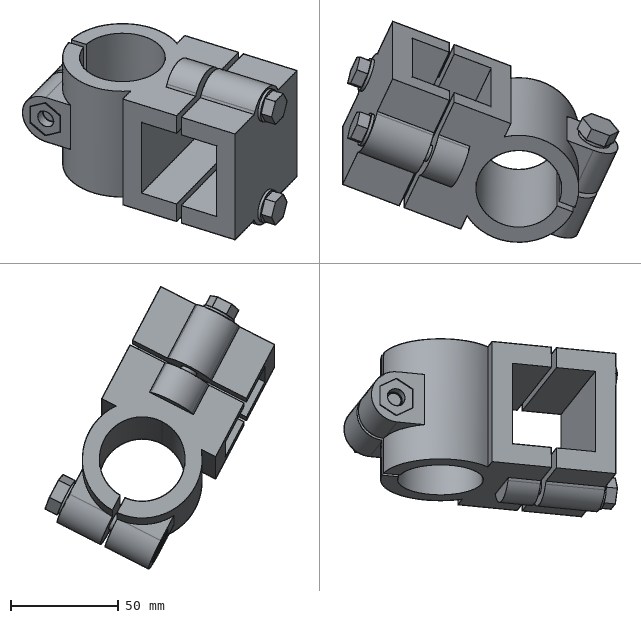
import cadquery as cq
import math

height = 60.0
total_height = 75.0
slit = 2.5
overlap = 0.6

bore_diameter = 40.0
ring_diameter = 56.0

block_size = 60.0
block_left = 16.7
block_middle = block_left + block_size / 2
block_right = block_left + block_size
window_size = 40.0

lug_radius = 12.5
ring_lug_x = -27.6
ring_lug_length = 48.1
block_lug_inset = 13.0
block_lug_left = block_left + block_lug_inset
block_lug_top = total_height / 2
block_lug_z = block_lug_top - lug_radius
block_lug_half_angle = math.radians(60)
block_lug_flank = 3.7

shank_diameter = 8.0
washer_diameter = 16.0
washer_thickness = 1.5
ring_bolt_x = -28.0
ring_head_flats = 16.0
ring_head_height = 6.5
block_bolt_z = 28.5
block_head_flats = 13.0
block_head_height = 5.6

nut_recess = 0.5
nut_hole_diameter = 8.4
bolt_tip_diameter = 6.7
bolt_tip_depth = 4.5
bolt_tip_chamfer = (shank_diameter - bolt_tip_diameter) / 2


def hexagon(plane, flats, length):
    """Hexagonal prism with two of its corners on the plane's local x axis."""
    corner_diameter = flats / math.cos(math.pi / 6)
    return cq.Workplane(plane).polygon(6, corner_diameter).extrude(length)


def bolt(seat_plane, head_flats, head_height, shank_length):
    """Washer and hexagonal head on the seat plane, with the shank running back from it."""
    washer = cq.Workplane(seat_plane).workplane(offset=-overlap)
    washer = washer.circle(washer_diameter / 2).extrude(washer_thickness + overlap)
    head_plane = cq.Plane(
        seat_plane.toWorldCoords((0, 0, washer_thickness)), seat_plane.xDir, seat_plane.zDir
    )
    head = hexagon(head_plane, head_flats, head_height)
    shank = cq.Workplane(seat_plane).circle(shank_diameter / 2).extrude(-shank_length)
    return washer.union(head).union(shank)


def block_lug():
    """Rounded lug on top of the square sleeve, with straight flanks running down into it."""
    arc_y = lug_radius * math.sin(block_lug_half_angle)
    arc_z = block_lug_z + lug_radius * math.cos(block_lug_half_angle)
    foot_y = arc_y + block_lug_flank * math.cos(block_lug_half_angle)
    foot_z = arc_z - block_lug_flank * math.sin(block_lug_half_angle)
    return (
        cq.Workplane("YZ", origin=(block_lug_left, 0, 0))
        .moveTo(-foot_y, foot_z)
        .lineTo(-arc_y, arc_z)
        .threePointArc((0, block_lug_top), (arc_y, arc_z))
        .lineTo(foot_y, foot_z)
        .close()
        .extrude(block_right - block_lug_left)
    )


def clamp_body():
    """Round and square sleeves with their lugs, bored, windowed and slit."""
    ring = cq.Workplane("XY").circle(ring_diameter / 2).extrude(height / 2, both=True)
    block = cq.Workplane("XY").box(block_size, block_size, height).translate((block_middle, 0, 0))
    ring_lug = (
        cq.Workplane("XZ")
        .moveTo(0, lug_radius)
        .lineTo(ring_lug_x, lug_radius)
        .threePointArc((ring_lug_x - lug_radius, 0), (ring_lug_x, -lug_radius))
        .lineTo(0, -lug_radius)
        .close()
        .extrude(ring_lug_length / 2, both=True)
    )
    body = ring.union(block).union(ring_lug)

    upper_lug = block_lug()
    body = body.union(upper_lug).union(upper_lug.mirror("XY"))

    bore = cq.Workplane("XY").circle(bore_diameter / 2).extrude(height, both=True)
    window = cq.Workplane("XY").box(window_size, 2 * block_size, window_size)
    window = window.translate((block_middle, 0, 0))
    block_slit = cq.Workplane("XY").box(slit, 2 * block_size, 2 * height)
    block_slit = block_slit.translate((block_middle, 0, 0))
    ring_slit = cq.Workplane("XY").box(ring_diameter, slit, 2 * height)
    ring_slit = ring_slit.translate((-ring_diameter / 2, 0, 0))
    return body.cut(bore).cut(window).cut(block_slit).cut(ring_slit)


def add_ring_bolt(body):
    """Bolt along Y through the ring lug, with its nut recessed in the front end."""
    seat = cq.Plane((ring_bolt_x, ring_lug_length / 2, 0), (1, 0, 0), (0, 1, 0))
    body = body.union(bolt(seat, ring_head_flats, ring_head_height, ring_lug_length / 2 + lug_radius))

    front = cq.Plane((ring_bolt_x, -ring_lug_length / 2, 0), (0, 0, 1), (0, 1, 0))
    hole_depth = bolt_tip_depth + bolt_tip_chamfer
    hole = cq.Workplane(front).circle(nut_hole_diameter / 2).extrude(hole_depth)
    tip = (
        cq.Workplane(front)
        .workplane(offset=bolt_tip_depth)
        .circle(shank_diameter / 2)
        .extrude(bolt_tip_chamfer + overlap)
        .faces("<Y")
        .chamfer(bolt_tip_chamfer)
    )
    return body.cut(hexagon(front, ring_head_flats, nut_recess)).cut(hole).union(tip)


def add_block_bolts(body):
    """Upper and lower bolts along X through the lugs of the square sleeve."""
    shank_length = block_size / 2 + lug_radius
    for side in (1, -1):
        seat = cq.Plane((block_right, 0, side * block_bolt_z), (0, 1, 0), (1, 0, 0))
        body = body.union(bolt(seat, block_head_flats, block_head_height, shank_length))
    return body


result = add_block_bolts(add_ring_bolt(clamp_body()))